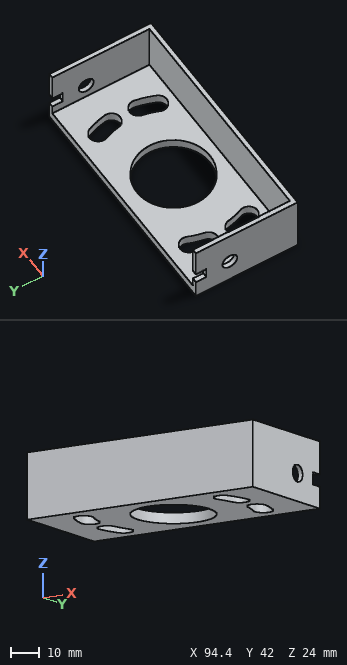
import cadquery as cq
import math

LENGTH = 94.4
DEPTH = 42.0
HEIGHT = 24.0
WALL = 2.0
FLOOR = 4.0

BORE_DIAMETER = 30.0
SLOT_ARC_RADIUS = 31.7
SLOT_WIDTH = 7.0
SLOT_START_ANGLE = 10.0
SLOT_END_ANGLE = 23.0

PIVOT_DIAMETER = 6.0
PIVOT_Y = 7.0
PIVOT_Z = 10.0
NOTCH_DEPTH = 4.3
NOTCH_HEIGHT = 4.3


def polar(radius, angle):
    """Point at a radius and an angle in degrees from the bore axis."""
    return radius * math.cos(math.radians(angle)), radius * math.sin(math.radians(angle))


def tray():
    """Floor with a front wall and two end walls, open at the back and top."""
    block = cq.Workplane("XY").box(LENGTH, DEPTH, HEIGHT, centered=(True, True, False))
    cavity = (
        cq.Workplane("XY")
        .box(LENGTH - 2 * WALL, DEPTH, HEIGHT, centered=(True, True, False))
        .translate((0, WALL, FLOOR))
    )
    return block.cut(cavity)


def curved_slot():
    """Round-ended slot that follows an arc about the bore axis."""
    inner = SLOT_ARC_RADIUS - SLOT_WIDTH / 2
    outer = SLOT_ARC_RADIUS + SLOT_WIDTH / 2
    middle_angle = (SLOT_START_ANGLE + SLOT_END_ANGLE) / 2
    tip_radius = math.hypot(SLOT_ARC_RADIUS, SLOT_WIDTH / 2)
    tip_angle = math.degrees(math.atan(SLOT_WIDTH / 2 / SLOT_ARC_RADIUS))
    return (
        cq.Workplane("XY")
        .moveTo(*polar(inner, SLOT_START_ANGLE))
        .threePointArc(polar(inner, middle_angle), polar(inner, SLOT_END_ANGLE))
        .threePointArc(
            polar(tip_radius, SLOT_END_ANGLE + tip_angle),
            polar(outer, SLOT_END_ANGLE),
        )
        .threePointArc(polar(outer, middle_angle), polar(outer, SLOT_START_ANGLE))
        .threePointArc(
            polar(tip_radius, SLOT_START_ANGLE - tip_angle),
            polar(inner, SLOT_START_ANGLE),
        )
        .close()
        .extrude(FLOOR)
    )


def end_wall_openings():
    """Pivot holes and back-edge notches, cut through both end walls."""
    pivot = (
        cq.Workplane("YZ")
        .center(PIVOT_Y, PIVOT_Z)
        .circle(PIVOT_DIAMETER / 2)
        .extrude(LENGTH / 2, both=True)
    )
    notch = cq.Workplane("XY").box(LENGTH, NOTCH_DEPTH, NOTCH_HEIGHT)
    return pivot.union(notch.translate((0, (DEPTH - NOTCH_DEPTH) / 2, PIVOT_Z)))


bore = cq.Workplane("XY").circle(BORE_DIAMETER / 2).extrude(FLOOR)
result = tray().cut(bore).cut(end_wall_openings())

right_back_slot = curved_slot()
left_back_slot = right_back_slot.mirror("YZ")
for slot in (right_back_slot, left_back_slot):
    result = result.cut(slot).cut(slot.mirror("XZ"))